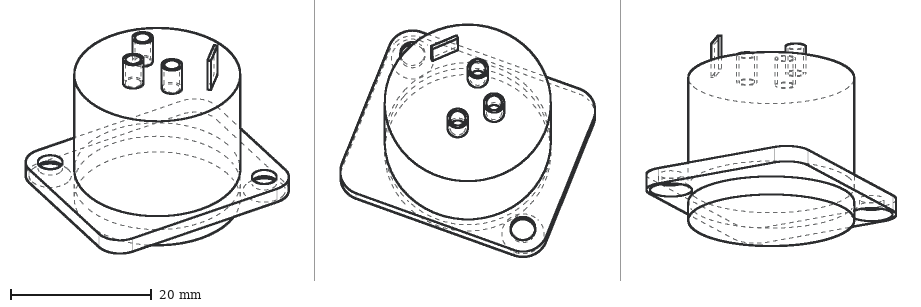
import cadquery as cq

FLANGE_X = 26.0
FLANGE_Y = 31.0
FLANGE_THICKNESS = 2.3
FLANGE_CORNER_RADIUS = 3.5
MOUNT_HOLE_DIAMETER = 3.5
COUNTERSINK_DIAMETER = 6.0
COUNTERSINK_ANGLE = 90.0
MOUNT_HOLE_X = 9.5
MOUNT_HOLE_Y = 12.0

BODY_DIAMETER = 23.6
FRONT_LENGTH = 2.7
REAR_LENGTH = 16.3

CUP_DIAMETER = 2.9
CUP_BORE_DIAMETER = 2.2
CUP_HEIGHT = 4.0
CUP_OFFSET = 4.0

TAB_WIDTH = 4.0
TAB_THICKNESS = 0.5
TAB_HEIGHT = 5.0
TAB_OFFSET = 5.7
TAB_ANGLE = -45.0

FLANGE_TOP_Z = FRONT_LENGTH + FLANGE_THICKNESS
REAR_Z = FLANGE_TOP_Z + REAR_LENGTH


def make_flange():
    """Rounded plate with two diagonally opposite mounting holes, countersunk from the front."""
    plate = (
        cq.Workplane("XY", origin=(0, 0, FRONT_LENGTH))
        .rect(FLANGE_X, FLANGE_Y)
        .extrude(FLANGE_THICKNESS)
        .edges("|Z")
        .fillet(FLANGE_CORNER_RADIUS)
    )
    hole_centers = [(MOUNT_HOLE_X, -MOUNT_HOLE_Y), (-MOUNT_HOLE_X, MOUNT_HOLE_Y)]
    return (
        plate.faces("<Z")
        .workplane(origin=(0, 0, 0))
        .pushPoints(hole_centers)
        .cskHole(MOUNT_HOLE_DIAMETER, COUNTERSINK_DIAMETER, COUNTERSINK_ANGLE)
    )


def make_body():
    """Solid cylinder from the front face to the rear face."""
    return cq.Workplane("XY").circle(BODY_DIAMETER / 2).extrude(REAR_Z)


def make_solder_cup(x, y):
    """Round contact bored from its rear end down to the rear face of the body."""
    cup = cq.Workplane("XY", origin=(x, y, REAR_Z)).circle(CUP_DIAMETER / 2).extrude(CUP_HEIGHT)
    return cup.faces(">Z").workplane().hole(CUP_BORE_DIAMETER, CUP_HEIGHT)


def make_ground_tab():
    """Thin upright blade facing the body axis."""
    return (
        cq.Workplane("XY", origin=(TAB_OFFSET, TAB_OFFSET, REAR_Z))
        .transformed(rotate=(0, 0, TAB_ANGLE))
        .rect(TAB_WIDTH, TAB_THICKNESS)
        .extrude(TAB_HEIGHT)
    )


result = make_body().union(make_flange())
cup_centers = [(-CUP_OFFSET, 0), (CUP_OFFSET, 0), (0, -CUP_OFFSET)]
for cup_x, cup_y in cup_centers:
    result = result.union(make_solder_cup(cup_x, cup_y))
result = result.union(make_ground_tab())